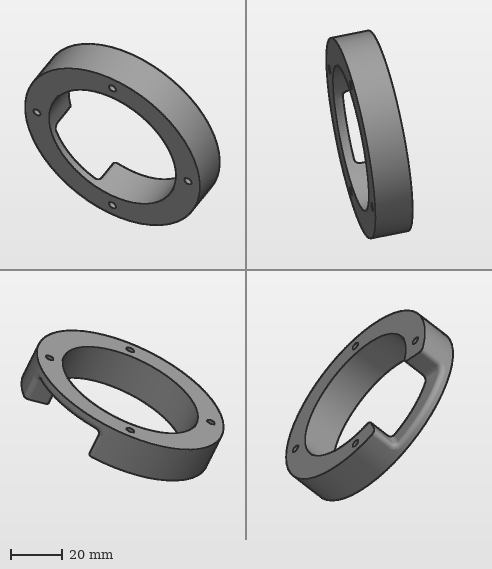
import cadquery as cq
import math

outer_radius = 40.0
inner_radius = 29.0
ring_depth = 15.0

hole_diameter = 3.2
hole_count = 4
hole_circle_radius = (outer_radius + inner_radius) / 2

notch_depth = 11.0
notch_middle_angle = 225.0
notch_half_angle = 28.4
corner_radius = 2.0
rim_radius = 2.0
cutter_reach = 2 * outer_radius
cutter_overrun = 4.0

tolerance = 0.01


def back_plane(y):
    """XZ plane at the given Y, with its normal along +Y and local x along +X."""
    return cq.Plane(origin=(0, y, 0), xDir=(1, 0, 0), normal=(0, 1, 0))


def polar_point(radius, angle):
    """Point on a back plane, whose local y runs along -Z."""
    radians = math.radians(angle)
    return (radius * math.cos(radians), -radius * math.sin(radians))


def make_ring():
    ring = cq.Workplane(back_plane(0)).circle(outer_radius).circle(inner_radius).extrude(ring_depth)
    holes = (
        cq.Workplane(back_plane(0))
        .polarArray(hole_circle_radius, 0, 360, hole_count)
        .circle(hole_diameter / 2)
        .extrude(ring_depth)
    )
    return ring.cut(holes)


def make_notch_cutter():
    """Wedge with its tip on the ring axis and rounded edges between floor and walls."""
    wedge = (
        cq.Workplane(back_plane(ring_depth - notch_depth))
        .polyline([
            (0, 0),
            polar_point(cutter_reach, notch_middle_angle - notch_half_angle),
            polar_point(cutter_reach, notch_middle_angle + notch_half_angle),
        ])
        .close()
        .extrude(notch_depth + cutter_overrun)
    )
    wall_edges = wedge.faces("<Y").edges("not <(1, 0, 1)")
    return wall_edges.fillet(corner_radius)


def round_notch_rims(body):
    """Round the notch edges on the outer and inner cylinders of the ring."""
    def is_rim(edge):
        middle = edge.positionAt(0.5)
        box = edge.BoundingBox()
        on_cylinder = any(
            abs(math.hypot(middle.x, middle.z) - radius) < tolerance
            for radius in (outer_radius, inner_radius)
        )
        in_notch = middle.x < 0 and middle.z < 0
        on_end_face = box.ymax < tolerance or box.ymin > ring_depth - tolerance
        return on_cylinder and in_notch and not on_end_face

    return body.newObject([edge for edge in body.edges().vals() if is_rim(edge)]).fillet(rim_radius)


result = round_notch_rims(make_ring().cut(make_notch_cutter()))